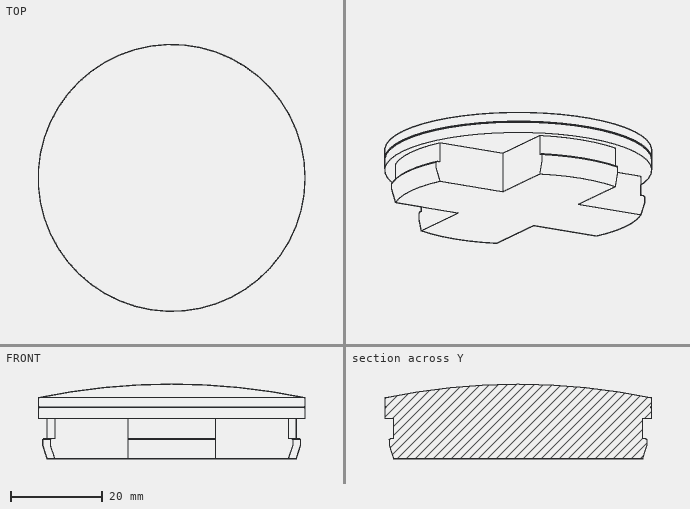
import cadquery as cq

cap_radius = 58.5 / 2
total_height = 16.4
dome_height = 3.0
rim_top = total_height - dome_height
rim_bottom = 8.8

groove_bottom = 11.2
groove_width = 0.2
groove_depth = 0.2

arm_width = 19.2
plug_radius = 27.3
lip_radius = 28.25
lip_taper_top = 3.0
lip_top = 4.5
lip_chamfer = 0.3


def make_cap():
    """Disc with a shallow spherical dome and a fine groove in its rim."""
    sphere_radius = (cap_radius**2 + dome_height**2) / (2 * dome_height)
    mid_radius = cap_radius / 2
    mid_drop = sphere_radius - (sphere_radius**2 - mid_radius**2) ** 0.5
    groove_radius = cap_radius - groove_depth
    groove_top = groove_bottom + groove_width
    return (
        cq.Workplane("XZ")
        .moveTo(0, rim_bottom)
        .lineTo(cap_radius, rim_bottom)
        .lineTo(cap_radius, groove_bottom)
        .lineTo(groove_radius, groove_bottom)
        .lineTo(groove_radius, groove_top)
        .lineTo(cap_radius, groove_top)
        .lineTo(cap_radius, rim_top)
        .threePointArc((mid_radius, total_height - mid_drop), (0, total_height))
        .close()
        .revolve(360, (0, 0), (0, 1))
    )


def make_plug():
    """Round lipped plug cut down to two crossing arms."""
    round_plug = (
        cq.Workplane("XZ")
        .lineTo(plug_radius, 0)
        .lineTo(lip_radius, lip_taper_top)
        .lineTo(lip_radius, lip_top - lip_chamfer)
        .lineTo(lip_radius - lip_chamfer, lip_top)
        .lineTo(plug_radius, lip_top)
        .lineTo(plug_radius, rim_bottom)
        .lineTo(0, rim_bottom)
        .close()
        .revolve(360, (0, 0), (0, 1))
    )
    arm_length = 2 * cap_radius
    on_floor = (True, True, False)
    arm_along_x = cq.Workplane("XY").box(arm_length, arm_width, rim_bottom, centered=on_floor)
    arm_along_y = cq.Workplane("XY").box(arm_width, arm_length, rim_bottom, centered=on_floor)
    return round_plug.intersect(arm_along_x.union(arm_along_y))


result = make_cap().union(make_plug())